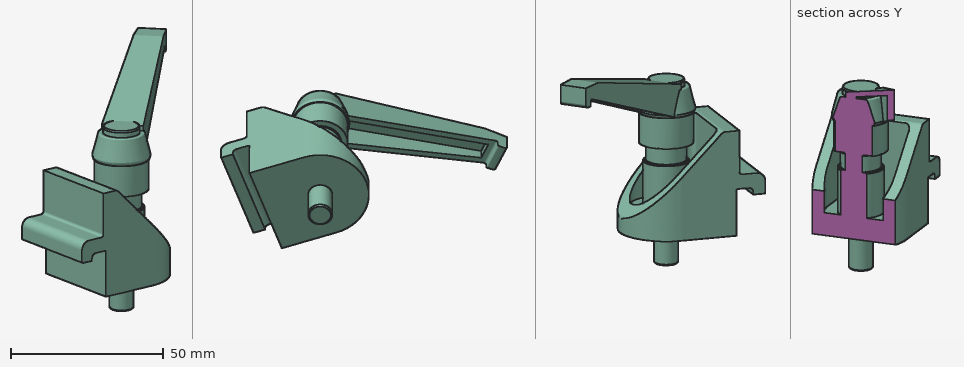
import cadquery as cq
BLOCK_WIDTH = 32.0
BLOCK_HEIGHT = 35.8
UPPER_FRONT_Y = -20.0
LOWER_FRONT_Y = -19.0
SLOPE_TOP_Y = -14.3
SLOPE_RADIUS = 2.0
BLOCK_RADIUS = BLOCK_WIDTH / 2

LIP_FRONT_Y = -29.0
LIP_TOP_Z = 20.8
LIP_BOTTOM_Z = 15.9
HOOK_BOTTOM_Z = 13.5
HOOK_BACK_Y = -24.8
LIP_OUTER_RADIUS = 3.0
HOOK_INNER_RADIUS = 1.6
HOOK_EDGE_RADIUS = 0.6
LIP_ROOT_RADIUS = 1.0
LOWER_ROOT_RADIUS = 0.4

POCKET_RADIUS = 12.0
POCKET_FRONT_Y = -14.0
POCKET_CORNER_RADIUS = 2.0
POCKET_FLOOR_Z = 8.0

STUD_RADIUS = 4.0
STUD_END_Z = -11.65
STUD_CHAMFER = 0.5
SLEEVE_RADIUS = 7.65
SLEEVE_TOP_Z = 23.7
SLEEVE_CHAMFER = 0.4
NECK_RADIUS = 6.75
SHOULDER_RADIUS = 7.0
SHOULDER_HEIGHT = 0.35
COLLAR_RADIUS = 9.0
COLLAR_BOTTOM_Z = 29.6

HUB_BOTTOM_Z = 40.15
HUB_BOTTOM_RADIUS = 9.3
HUB_RIM_BOTTOM_Z = 41.2
HUB_RIM_TOP_Z = 41.5
HUB_RIM_RADIUS = 9.65
HUB_TOP_Z = 49.0
HUB_TOP_RADIUS = 7.7
HUB_TOP_FILLET = 0.5
BUTTON_RADIUS = 6.1
BUTTON_TOP_Z = 51.3
BUTTON_BEVEL_HEIGHT = 0.6
BUTTON_BEVEL_WIDTH = 0.3

LEVER_ANGLE = 133.0
LEVER_LENGTH = 65.0
LEVER_START = 2.4
TIP_FLAT_LENGTH = 8.0
TIP_HALF_WIDTH = 4.7
ROOT_HALF_WIDTH = 6.9
OVERALL_HEIGHT = 76.0
LEVER_TOP_Z = STUD_END_Z + OVERALL_HEIGHT
BUTTON_MEET_DISTANCE = 4.7
FLAT_START = LEVER_LENGTH - TIP_FLAT_LENGTH
TOP_SLOPE = (LEVER_TOP_Z - BUTTON_TOP_Z) / (FLAT_START - BUTTON_MEET_DISTANCE)
UNDERSIDE_SLOPE = 0.354
UNDERSIDE_ROOT = 5.7
TIP_DEPTH = 6.95
TIP_ROUND_LENGTH = 1.6
TIP_ROUND_HEIGHT = 1.25
HOOK_LENGTH = 3.4
HOOK_FILLET = 0.8
HOOK_TOE_FILLET = 0.5
LEVER_WALL = 2.0
CAVITY_END = 59.0


def make_block():
    slope_end_z = BLOCK_HEIGHT - (BLOCK_RADIUS - SLOPE_TOP_Y)
    profile = (
        cq.Workplane("YZ")
        .moveTo(LOWER_FRONT_Y, 0)
        .lineTo(BLOCK_RADIUS, 0)
        .lineTo(BLOCK_RADIUS, slope_end_z)
        .lineTo(SLOPE_TOP_Y, BLOCK_HEIGHT)
        .lineTo(UPPER_FRONT_Y, BLOCK_HEIGHT)
        .lineTo(UPPER_FRONT_Y, LIP_TOP_Z)
        .lineTo(LIP_FRONT_Y, LIP_TOP_Z)
        .lineTo(LIP_FRONT_Y, HOOK_BOTTOM_Z)
        .lineTo(HOOK_BACK_Y, HOOK_BOTTOM_Z)
        .lineTo(HOOK_BACK_Y, LIP_BOTTOM_Z)
        .lineTo(LOWER_FRONT_Y, LIP_BOTTOM_Z)
        .close()
        .extrude(BLOCK_WIDTH / 2, both=True)
    )
    rounded_corners = (
        (BLOCK_RADIUS, slope_end_z, SLOPE_RADIUS),
        (SLOPE_TOP_Y, BLOCK_HEIGHT, SLOPE_RADIUS),
        (UPPER_FRONT_Y, LIP_TOP_Z, LIP_ROOT_RADIUS),
        (LIP_FRONT_Y, LIP_TOP_Z, LIP_OUTER_RADIUS),
        (LIP_FRONT_Y, HOOK_BOTTOM_Z, HOOK_EDGE_RADIUS),
        (HOOK_BACK_Y, LIP_BOTTOM_Z, HOOK_INNER_RADIUS),
        (LOWER_FRONT_Y, LIP_BOTTOM_Z, LOWER_ROOT_RADIUS),
    )
    for y, z, radius in rounded_corners:
        corner_edge = cq.selectors.NearestToPointSelector((0, y, z))
        profile = profile.edges("|X").edges(corner_edge).fillet(radius)

    front_length = -LIP_FRONT_Y
    plan_outline = (
        cq.Workplane("XY")
        .circle(BLOCK_RADIUS)
        .extrude(BLOCK_HEIGHT)
        .union(
            cq.Workplane("XY")
            .rect(BLOCK_WIDTH, front_length)
            .extrude(BLOCK_HEIGHT)
            .translate((0, -front_length / 2, 0))
        )
    )
    return profile.intersect(plan_outline)


def make_pocket():
    pocket_height = BLOCK_HEIGHT - POCKET_FLOOR_Z
    return (
        cq.Workplane("XY", origin=(0, 0, POCKET_FLOOR_Z))
        .moveTo(POCKET_RADIUS, 0)
        .threePointArc((0, POCKET_RADIUS), (-POCKET_RADIUS, 0))
        .lineTo(-POCKET_RADIUS, POCKET_FRONT_Y)
        .lineTo(POCKET_RADIUS, POCKET_FRONT_Y)
        .close()
        .extrude(pocket_height)
        .edges("|Z and <Y")
        .fillet(POCKET_CORNER_RADIUS)
    )


def cylinder(radius, bottom, top):
    return cq.Workplane("XY", origin=(0, 0, bottom)).circle(radius).extrude(top - bottom)


def make_screw():
    stud = cylinder(STUD_RADIUS, STUD_END_Z, POCKET_FLOOR_Z).faces("<Z").chamfer(STUD_CHAMFER)
    sleeve = cylinder(SLEEVE_RADIUS, POCKET_FLOOR_Z, SLEEVE_TOP_Z).faces(">Z").chamfer(SLEEVE_CHAMFER)
    neck = cylinder(NECK_RADIUS, SLEEVE_TOP_Z, COLLAR_BOTTOM_Z)
    collar = cylinder(COLLAR_RADIUS, COLLAR_BOTTOM_Z, HUB_BOTTOM_Z)
    shoulder = cylinder(SHOULDER_RADIUS, COLLAR_BOTTOM_Z - SHOULDER_HEIGHT, COLLAR_BOTTOM_Z)
    return stud.union(sleeve).union(neck).union(shoulder).union(collar)


def make_hub():
    cone = (
        cq.Workplane("XZ")
        .moveTo(0, HUB_BOTTOM_Z)
        .lineTo(HUB_BOTTOM_RADIUS, HUB_BOTTOM_Z)
        .lineTo(HUB_RIM_RADIUS, HUB_RIM_BOTTOM_Z)
        .lineTo(HUB_RIM_RADIUS, HUB_RIM_TOP_Z)
        .lineTo(HUB_TOP_RADIUS, HUB_TOP_Z)
        .lineTo(0, HUB_TOP_Z)
        .close()
        .revolve(360, (0, 0, 0), (0, 1, 0))
        .faces(">Z")
        .edges()
        .fillet(HUB_TOP_FILLET)
    )
    button = (
        cq.Workplane("XZ")
        .moveTo(0, HUB_TOP_Z)
        .lineTo(BUTTON_RADIUS, HUB_TOP_Z)
        .lineTo(BUTTON_RADIUS, BUTTON_TOP_Z - BUTTON_BEVEL_HEIGHT)
        .lineTo(BUTTON_RADIUS - BUTTON_BEVEL_WIDTH, BUTTON_TOP_Z)
        .lineTo(0, BUTTON_TOP_Z)
        .close()
        .revolve(360, (0, 0, 0), (0, 1, 0))
    )
    return cone.union(button)


def top_slope_z(distance):
    """Height of the lever's sloping top face at a distance from the clamping axis."""
    return LEVER_TOP_Z - TOP_SLOPE * (FLAT_START - distance)


def lever_plan(side_wall):
    """Tapered lever footprint as a full-height prism, narrowed by a wall on each side."""
    root_half_width = ROOT_HALF_WIDTH - side_wall
    tip_half_width = TIP_HALF_WIDTH - side_wall
    return (
        cq.Workplane("XY", origin=(0, 0, HUB_BOTTOM_Z))
        .moveTo(LEVER_START, root_half_width)
        .lineTo(LEVER_LENGTH, tip_half_width)
        .lineTo(LEVER_LENGTH, -tip_half_width)
        .lineTo(LEVER_START, -root_half_width)
        .close()
        .extrude(LEVER_TOP_Z - HUB_BOTTOM_Z)
    )


def make_lever_body():
    tip_bottom_z = LEVER_TOP_Z - TIP_DEPTH
    hook_start = LEVER_LENGTH - HOOK_LENGTH
    notch_z = HUB_BOTTOM_Z + UNDERSIDE_SLOPE * (hook_start - UNDERSIDE_ROOT)
    notch_edge = cq.selectors.NearestToPointSelector((hook_start, 0, notch_z))
    toe_edge = cq.selectors.NearestToPointSelector((hook_start, 0, tip_bottom_z))
    side = (
        cq.Workplane("XZ")
        .moveTo(LEVER_START, HUB_BOTTOM_Z)
        .lineTo(UNDERSIDE_ROOT, HUB_BOTTOM_Z)
        .lineTo(hook_start, notch_z)
        .lineTo(hook_start, tip_bottom_z)
        .lineTo(LEVER_LENGTH - TIP_ROUND_LENGTH, tip_bottom_z)
        .tangentArcPoint((LEVER_LENGTH, tip_bottom_z + TIP_ROUND_HEIGHT), relative=False)
        .lineTo(LEVER_LENGTH, LEVER_TOP_Z)
        .lineTo(FLAT_START, LEVER_TOP_Z)
        .lineTo(LEVER_START, top_slope_z(LEVER_START))
        .close()
        .extrude(ROOT_HALF_WIDTH, both=True)
        .edges("|Y")
        .edges(notch_edge)
        .fillet(HOOK_FILLET)
        .edges("|Y")
        .edges(toe_edge)
        .fillet(HOOK_TOE_FILLET)
    )
    return side.intersect(lever_plan(0))


def make_lever_cavity():
    """Hollow that opens downward and leaves two side walls and a roof."""
    cavity_end_roof_z = top_slope_z(CAVITY_END) - LEVER_WALL
    cavity_start_roof_z = top_slope_z(LEVER_START) - LEVER_WALL
    side = (
        cq.Workplane("XZ")
        .moveTo(LEVER_START, HUB_BOTTOM_Z)
        .lineTo(CAVITY_END, HUB_BOTTOM_Z)
        .lineTo(CAVITY_END, cavity_end_roof_z)
        .lineTo(LEVER_START, cavity_start_roof_z)
        .close()
        .extrude(ROOT_HALF_WIDTH, both=True)
    )
    return side.intersect(lever_plan(LEVER_WALL))


def make_lever():
    """Hollow arm built along +X, then turned about Z to its working angle."""
    lever = make_lever_body().cut(make_lever_cavity())
    return lever.rotate((0, 0, 0), (0, 0, 1), LEVER_ANGLE)


block = make_block().cut(make_pocket())
result = block.union(make_screw()).union(make_hub()).union(make_lever())